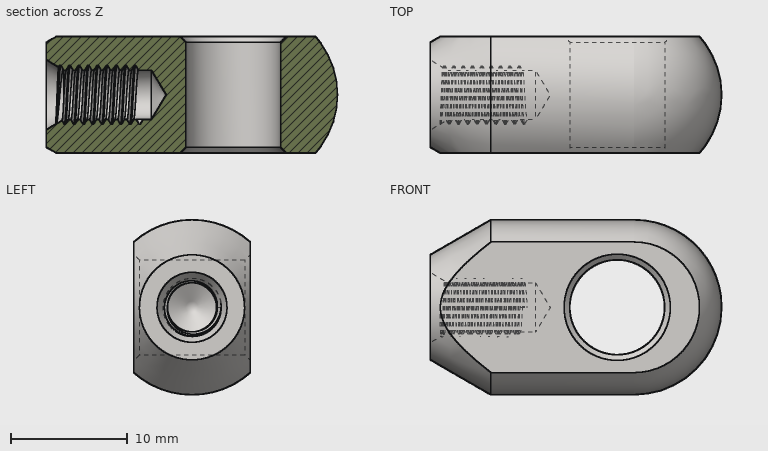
import cadquery as cq
import math

overall_length = 24.95
body_radius = 7.5
end_face_radius = 4.5
taper_half_angle = math.radians(30)
taper_length = (body_radius - end_face_radius) / math.tan(taper_half_angle)
dome_start = overall_length - body_radius
flat_thickness = 10.0

cross_hole_x = 16.0
cross_hole_radius = 8.1 / 2
cross_hole_chamfer = 0.5

thread_pitch = 0.8
thread_major_radius = 5.0 / 2
thread_minor_radius = 4.2 / 2
thread_start = 0.2
thread_end = 8.0
thread_half_angle = math.radians(30)
thread_root_width = thread_pitch / 8
drill_depth = 9.0
drill_tip_half_angle = math.radians(59)
countersink_radius = 3.0
countersink_half_angle = math.radians(31)

thread_overlap = 0.05


def make_body():
    """Tapered, domed round bar cut down to two parallel flats."""
    dome_mid = body_radius * math.sqrt(0.5)
    bar = (
        cq.Workplane("XZ")
        .moveTo(0, 0)
        .lineTo(0, end_face_radius)
        .lineTo(taper_length, body_radius)
        .lineTo(dome_start, body_radius)
        .threePointArc((dome_start + dome_mid, dome_mid), (overall_length, 0))
        .close()
        .revolve(360, (0, 0, 0), (1, 0, 0))
    )
    slab = cq.Workplane("XY").box(
        overall_length, flat_thickness, 2 * body_radius, centered=(False, True, True)
    )
    return bar.intersect(slab)


def make_cross_hole():
    """Cutter for the through hole, widened by a 45 degree chamfer at each flat."""
    half_thickness = flat_thickness / 2
    chamfer_radius = cross_hole_radius + cross_hole_chamfer
    chamfer_start = half_thickness - cross_hole_chamfer
    return (
        cq.Workplane("XY")
        .polyline([
            (0, -half_thickness),
            (chamfer_radius, -half_thickness),
            (cross_hole_radius, -chamfer_start),
            (cross_hole_radius, chamfer_start),
            (chamfer_radius, half_thickness),
            (0, half_thickness),
        ])
        .close()
        .revolve(360, (0, 0, 0), (0, 1, 0))
        .translate((cross_hole_x, 0, 0))
    )


def make_drilled_hole():
    """Cutter for the countersunk blind bore with its conical bottom."""
    tip_length = thread_minor_radius / math.tan(drill_tip_half_angle)
    countersink_depth = (countersink_radius - thread_minor_radius) / math.tan(countersink_half_angle)
    return (
        cq.Workplane("XZ")
        .polyline([
            (0, 0),
            (0, countersink_radius),
            (countersink_depth, thread_minor_radius),
            (drill_depth, thread_minor_radius),
            (drill_depth + tip_length, 0),
        ])
        .close()
        .revolve(360, (0, 0, 0), (1, 0, 0))
    )


def make_thread_groove():
    """Helical V groove cutter, starting in the open space of the countersink."""
    inner_radius = thread_minor_radius - thread_overlap
    groove_depth = thread_major_radius - inner_radius
    root_half = thread_root_width / 2
    mouth_half = root_half + groove_depth * math.tan(thread_half_angle)
    helix_length = thread_end - thread_start
    helix = cq.Wire.makeHelix(thread_pitch, helix_length, inner_radius)
    groove = (
        cq.Workplane("XZ")
        .polyline([
            (inner_radius, -mouth_half),
            (thread_major_radius, -root_half),
            (thread_major_radius, root_half),
            (inner_radius, mouth_half),
        ])
        .close()
        .sweep(cq.Workplane(obj=helix), isFrenet=True)
    )
    return groove.rotate((0, 0, 0), (0, 1, 0), 90).translate((thread_start, 0, 0))


result = (
    make_body()
    .cut(make_cross_hole())
    .cut(make_drilled_hole())
    .cut(make_thread_groove())
)